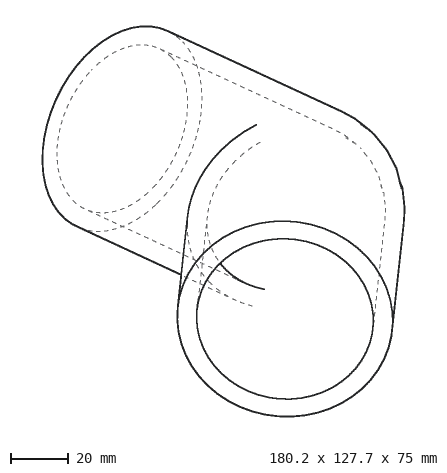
import cadquery as cq
import math

overall_length = 180.2
outer_diameter = 75.0
bore_diameter = 61.5
bend_angle = 45.0

outer_radius = outer_diameter / 2
bore_radius = bore_diameter / 2
bend = math.radians(bend_angle)

leg_length = (overall_length - outer_radius * math.sin(bend)) / (1 + math.cos(bend))

straight_direction = (-1, 0, 0)
angled_direction = (math.cos(bend), -math.sin(bend), 0)


def leg(radius, direction):
    """Solid cylinder from the corner to the open end of one leg."""
    plane = cq.Plane(origin=(0, 0, 0), xDir=(0, 0, 1), normal=direction)
    return cq.Workplane(plane).circle(radius).extrude(leg_length)


def elbow(radius):
    """Two cylinders joined by a ball that rounds the outside of the corner."""
    ball = cq.Workplane("XY").sphere(radius)
    return leg(radius, straight_direction).union(leg(radius, angled_direction)).union(ball)


result = elbow(outer_radius).cut(elbow(bore_radius))